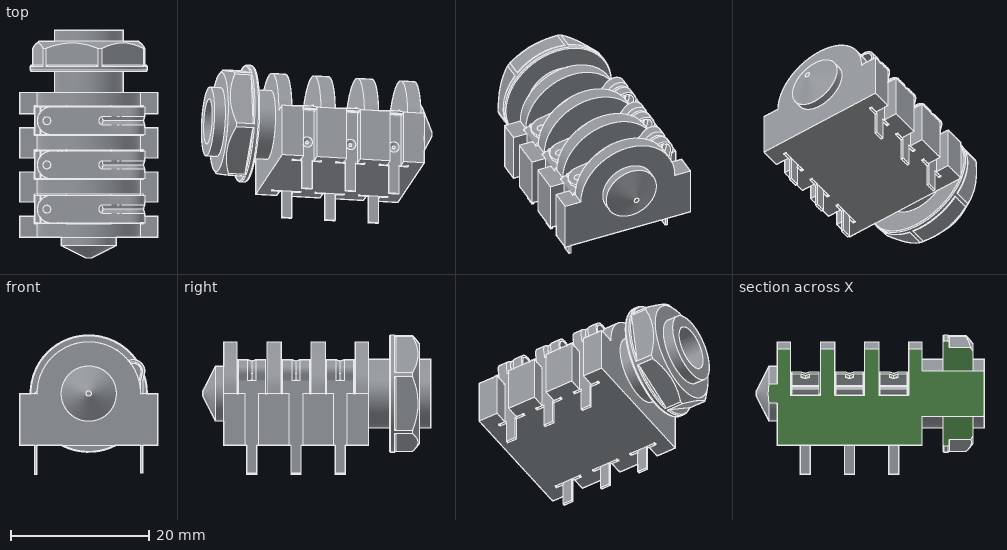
import cadquery as cq
import math


body_width = 20.0
body_length = 21.0
body_bottom = -7.5
dome_radius = 7.5
bushing_radius = 5.0
bushing_end = 30.0
bore_radius = 3.25
front_wall = 1.95
nose_radius = 4.0
nose_collar = 1.2
nose_length = 3.03
nose_tip_radius = 0.38

contact_count = 3
contact_pitch = 6.4
first_contact_y = 4.08
contact_width = 4.0
bay_offset = 0.03
bay_width = 4.28
bay_floor = -0.2
window_width = 2.0

strip = 0.35
strip_inner_x = dome_radius
strip_outer_x = strip_inner_x + strip
bay_clearance = 0.03
bay_half_length = strip_outer_x + bay_clearance
pin_width = 1.5
left_pin_bottom = -11.7
right_pin_bottom = -11.5

arm_slope = math.radians(10.7)
arm_tip_x = -7.45
arm_tip_z = 0.93
arm_bend_x = 2.05
hump_x = 6.45
hump_z = 3.25
hump_radius = 1.68
hump_start = math.radians(148)
hump_foot_z = 1.9
groove_half_width = 0.6
groove_depth = 0.2
rivet_x = -6.06
rivet_radius = 0.57
rivet_head = 0.02

leaf_bend_start_z = -0.2
leaf_bend_radius = 0.58
leaf_length = 3.5
spacer_top_x = -7.0
spacer_foot_x = -7.25
spacer_end_x = -4.5

dimple_z = -4.7
dimple_radii = (0.77, 0.48, 0.2)
dimple_depths = (0.0, 0.12, 0.25)

nut_start = 24.0
nut_length = 4.4
flange_radius = 8.5
flange_thickness = 0.93
flange_edge = 0.2
flange_edge_radial = 0.12
hex_across_flats = 15.0
hex_turn = 19.0
hex_chamfer_radius = 7.2
hex_chamfer_length = 1.05

contact_ys = [first_contact_y + i * contact_pitch for i in range(contact_count)]


def box(x0, x1, y0, y1, z0, z1):
    return cq.Workplane("XY").box(x1 - x0, y1 - y0, z1 - z0, centered=False).translate((x0, y0, z0))


def rod(radius, y0, y1):
    """Cylinder on the plug axis."""
    return cq.Workplane("XZ", origin=(0, y0, 0)).circle(radius).extrude(y0 - y1)


def turned(points):
    """Solid of revolution on the plug axis from (radius, y) points."""
    return cq.Workplane("XY").polyline(points).close().revolve(360, (0, 0, 0), (0, 1, 0))


def make_housing():
    half = body_width / 2
    body = box(-half, half, 0, body_length, body_bottom, 0)
    body = body.union(rod(dome_radius, 0, body_length))
    body = body.intersect(box(-half, half, 0, body_length, body_bottom, dome_radius))
    body = body.union(rod(bushing_radius, body_length, bushing_end))
    nose = turned([
        (0, 0),
        (nose_radius, 0),
        (nose_radius, -nose_collar),
        (nose_tip_radius, -nose_length),
        (0, -nose_length),
    ])
    body = body.union(nose).cut(rod(bore_radius, front_wall, bushing_end))

    for contact_y in contact_ys:
        y0 = contact_y + bay_offset - bay_width / 2
        y1 = y0 + bay_width
        body = body.cut(box(-bay_half_length, bay_half_length, y0, y1, bay_floor, dome_radius))
        for side in (-1, 1):
            channel = sorted((side * strip_inner_x, side * bay_half_length))
            body = body.cut(box(*channel, y0, y1, body_bottom, 0))
            window = sorted((side * strip_inner_x, side * half))
            w0 = contact_y - window_width / 2
            body = body.cut(box(*window, w0, w0 + window_width, body_bottom, 0))
    return body


def make_nut():
    end = nut_start + nut_length
    shoulder = end - hex_chamfer_length
    flange_end = nut_start + flange_thickness
    rim = flange_radius - flange_edge_radial
    flange = turned([
        (0, nut_start),
        (rim, nut_start),
        (flange_radius, nut_start + flange_edge),
        (flange_radius, flange_end - flange_edge),
        (rim, flange_end),
        (0, flange_end),
    ])
    envelope = turned([
        (0, nut_start + flange_edge),
        (flange_radius, nut_start + flange_edge),
        (flange_radius, shoulder),
        (hex_chamfer_radius, end),
        (0, end),
    ])
    corner_diameter = hex_across_flats / math.cos(math.pi / 6)
    hexagon = (
        cq.Workplane("XZ", origin=(0, nut_start, 0))
        .polygon(6, corner_diameter)
        .extrude(-nut_length)
        .rotate((0, 0, 0), (0, 1, 0), -hex_turn)
    )
    return flange.union(hexagon.intersect(envelope)).cut(rod(bushing_radius, nut_start, end))


slope_dir = (math.cos(arm_slope), math.sin(arm_slope))
slope_up = (-math.sin(arm_slope), math.cos(arm_slope))
arm_bend_z = arm_tip_z + (arm_bend_x - arm_tip_x) * math.tan(arm_slope)

foot_dx = strip_outer_x - hump_x
foot_dz = hump_foot_z - hump_z
hump_end = math.atan2(foot_dz, foot_dx) + math.acos(hump_radius / math.hypot(foot_dx, foot_dz))

rise_dir = (math.sin(hump_start), -math.cos(hump_start))


def on_circle(cx, cz, radius, angle):
    return (cx + radius * math.cos(angle), cz + radius * math.sin(angle))


def below_slope(x, depth):
    """Point under the sloped upper surface, measured square to it."""
    z = arm_tip_z + (x - arm_tip_x) * math.tan(arm_slope)
    return (x - depth * slope_up[0], z - depth * slope_up[1])


def hump_point(depth, angle):
    return on_circle(hump_x, hump_z, hump_radius - depth, angle)


def hump_middle(depth):
    return hump_point(depth, (hump_start + hump_end) / 2)


def groove_wedge(depth):
    """V-shaped bar along the bends, with a cone at its start, below the upper surface by depth."""
    path = (
        cq.Workplane("XZ")
        .moveTo(arm_bend_x, arm_bend_z)
        .spline([hump_point(0, hump_start)], tangents=[slope_dir, rise_dir], includeCurrent=True)
        .threePointArc(hump_middle(0), hump_point(0, hump_end))
        .lineTo(strip_outer_x, hump_foot_z)
    )
    section_plane = cq.Plane(
        origin=(arm_bend_x, 0, arm_bend_z),
        xDir=(0, 1, 0),
        normal=(slope_dir[0], 0, slope_dir[1]),
    )
    section = [
        (-groove_half_width, -depth),
        (groove_half_width, -depth),
        (0, -depth - groove_depth),
    ]
    bar = cq.Workplane(section_plane).polyline(section).close().sweep(path, transition="right")
    start_x, start_z = below_slope(arm_bend_x, depth)
    cone = cq.Solid.makeCone(
        groove_half_width, 0, groove_depth,
        pnt=cq.Vector(start_x, 0, start_z),
        dir=cq.Vector(-slope_up[0], 0, -slope_up[1]),
    )
    return bar.union(cq.Workplane(cone))


def across(profile):
    """Extrude an XZ profile over the contact width, centred on Y = 0."""
    return profile.extrude(contact_width / 2, both=True)


def make_spring_arm():
    back_down_rise = (-rise_dir[0], -rise_dir[1])
    back_along_slope = (-slope_dir[0], -slope_dir[1])
    lower_bend = below_slope(arm_bend_x, strip)
    outline = (
        cq.Workplane("XZ")
        .moveTo(*below_slope(arm_tip_x, 0))
        .lineTo(arm_bend_x, arm_bend_z)
        .spline([hump_point(0, hump_start)], tangents=[slope_dir, rise_dir], includeCurrent=True)
        .threePointArc(hump_middle(0), hump_point(0, hump_end))
        .lineTo(strip_outer_x, hump_foot_z)
        .lineTo(strip_outer_x, body_bottom)
        .lineTo(strip_inner_x, body_bottom)
        .lineTo(strip_inner_x, hump_foot_z)
        .lineTo(*hump_point(strip, hump_end))
        .threePointArc(hump_middle(strip), hump_point(strip, hump_start))
        .spline([lower_bend], tangents=[back_down_rise, back_along_slope], includeCurrent=True)
        .lineTo(*below_slope(arm_tip_x, strip))
        .close()
    )
    arm = across(outline)

    tip_radius = contact_width / 2
    tip_plan = (
        cq.Workplane("XY", origin=(0, 0, body_bottom))
        .moveTo(strip_outer_x + hump_radius, -tip_radius)
        .lineTo(arm_tip_x + tip_radius, -tip_radius)
        .threePointArc((arm_tip_x, 0), (arm_tip_x + tip_radius, tip_radius))
        .lineTo(strip_outer_x + hump_radius, tip_radius)
        .close()
        .extrude(dome_radius - body_bottom)
    )
    arm = arm.intersect(tip_plan)
    return arm.union(groove_wedge(strip)).cut(groove_wedge(0))


def make_leaf():
    """Left strip, rolled over at the top into a leaf parallel to the spring arm."""
    centre_x = -strip_outer_x + leaf_bend_radius
    inner_radius = leaf_bend_radius - strip
    bend_end = math.pi / 2 + arm_slope
    bend_mid = (math.pi + bend_end) / 2

    def bend(radius, angle):
        return on_circle(centre_x, leaf_bend_start_z, radius, angle)

    def leaf_end(radius):
        x, z = bend(radius, bend_end)
        return (x + leaf_length * slope_dir[0], z + leaf_length * slope_dir[1])

    outline = (
        cq.Workplane("XZ")
        .moveTo(-strip_outer_x, body_bottom)
        .lineTo(-strip_outer_x, leaf_bend_start_z)
        .threePointArc(bend(leaf_bend_radius, bend_mid), bend(leaf_bend_radius, bend_end))
        .lineTo(*leaf_end(leaf_bend_radius))
        .lineTo(*leaf_end(inner_radius))
        .lineTo(*bend(inner_radius, bend_end))
        .threePointArc(bend(inner_radius, bend_mid), (-strip_inner_x, leaf_bend_start_z))
        .lineTo(-strip_inner_x, body_bottom)
        .close()
    )
    steps = list(zip(dimple_depths, dimple_radii))
    dimple = (
        cq.Workplane("XY")
        .polyline([(0, 0), *steps, (strip, dimple_radii[-1]), (strip, 0)])
        .close()
        .revolve(360, (0, 0, 0), (1, 0, 0))
        .translate((-strip_outer_x, 0, dimple_z))
    )
    return across(outline).cut(dimple)


def make_contact():
    arm = make_spring_arm()
    leaf = make_leaf()
    spacer_depth = 2 * strip
    spacer = across(
        cq.Workplane("XZ")
        .polyline([
            below_slope(spacer_top_x, strip),
            below_slope(spacer_end_x, strip),
            below_slope(spacer_end_x, spacer_depth),
            below_slope(spacer_foot_x, spacer_depth),
        ])
        .close()
    )
    foot_x, foot_z = below_slope(rivet_x, spacer_depth)
    rivet = cq.Workplane(cq.Solid.makeCylinder(
        rivet_radius, spacer_depth + rivet_head,
        pnt=cq.Vector(foot_x, 0, foot_z),
        dir=cq.Vector(slope_up[0], 0, slope_up[1]),
    ))
    half_pin = pin_width / 2
    left_pin = box(-strip_outer_x, -strip_inner_x, -half_pin, half_pin, left_pin_bottom, body_bottom)
    right_pin = box(strip_inner_x, strip_outer_x, -half_pin, half_pin, right_pin_bottom, body_bottom)
    return arm.union(leaf).union(spacer).union(rivet).union(left_pin).union(right_pin)


housing = make_housing()
nut = make_nut()
contact = make_contact()
contacts = [contact.translate((0, y, 0)) for y in contact_ys]

result = cq.Compound.makeCompound([
    housing.solids().val(),
    nut.solids().val(),
    *[placed.solids().val() for placed in contacts],
])